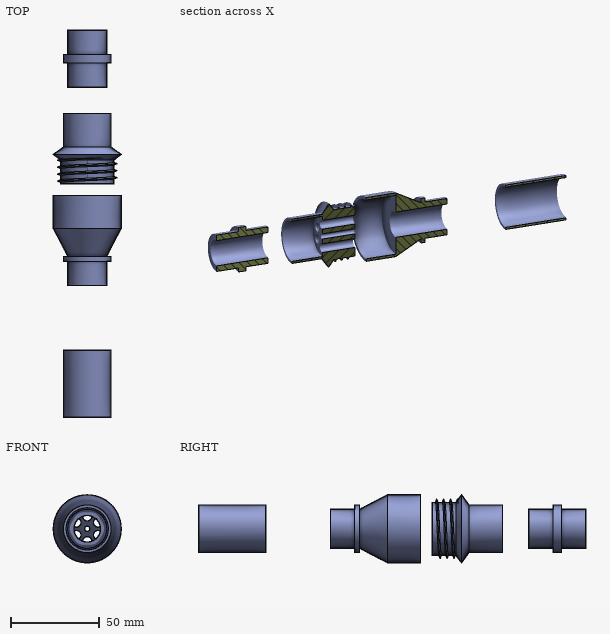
import cadquery as cq
import math


tube_diameter = 27.0
socket_diameter = 24.0
spigot_diameter = 22.2
passage_diameter = 15.0
body_diameter = 38.5
spigot_length = 13.8

sleeve_length = 38.2

cap_flange_length = 2.9
cap_cone_length = 15.8
cap_rim_length = 18.6
cap_bore_diameter = 35

core_diameter = 30.0
core_length = 13.4
front_cone_length = 3.3
rear_cone_length = 4.2
rear_tube_length = 19.0

thread_diameter = 33.8
thread_pitch = 4.0
thread_base_width = 1.8
thread_end_gap = 1.5
thread_length = 13.2
thread_root_depth = 0.5

center_hole_diameter = 2.9
flow_hole_diameter = 5.0
flow_hole_count = 6
flow_hole_circle_radius = 7.0

connector_flange_length = 4.8

sleeve_gap = 36.5
cap_gap = 6.5
valve_gap = 14.7

sleeve_start = 0
cap_start = sleeve_start + sleeve_length + sleeve_gap
cap_length = spigot_length + cap_flange_length + cap_cone_length + cap_rim_length
valve_start = cap_start + cap_length + cap_gap
valve_length = core_length + front_cone_length + rear_cone_length + rear_tube_length
connector_start = valve_start + valve_length + valve_gap


def cylinder(diameter, start, length):
    """Cylinder on the Y axis, running from start towards +Y."""
    plane = cq.Plane(origin=(0, start, 0), xDir=(0, 0, 1), normal=(0, 1, 0))
    return cq.Workplane(plane).circle(diameter / 2).extrude(length)


def cone(front_diameter, rear_diameter, start, length):
    """Truncated cone on the Y axis, running from start towards +Y."""
    end = start + length
    outline = [(start, 0), (start, front_diameter / 2), (end, rear_diameter / 2), (end, 0)]
    return cq.Workplane("YZ").polyline(outline).close().revolve(360, (0, 0, 0), (1, 0, 0))


def make_sleeve():
    outside = cylinder(tube_diameter, sleeve_start, sleeve_length)
    return outside.cut(cylinder(socket_diameter, sleeve_start, sleeve_length))


def make_cap():
    flange_start = cap_start + spigot_length
    cone_start = flange_start + cap_flange_length
    rim_start = cone_start + cap_cone_length
    cap = cylinder(spigot_diameter, cap_start, spigot_length)
    cap = cap.union(cylinder(tube_diameter, flange_start, cap_flange_length))
    cap = cap.union(cone(spigot_diameter, body_diameter, cone_start, cap_cone_length))
    cap = cap.union(cylinder(body_diameter, rim_start, cap_rim_length))
    cap = cap.cut(cylinder(passage_diameter, cap_start, cap_length))
    return cap.cut(cylinder(cap_bore_diameter, rim_start, cap_rim_length))


def make_thread():
    """Right-handed triangular ridge that starts on the -X side near the front face."""
    root_radius = core_diameter / 2 - thread_root_depth
    half_width = thread_base_width / 2
    path = cq.Wire.makeHelix(thread_pitch, thread_length, root_radius)
    ridge = (
        cq.Workplane("XZ")
        .moveTo(root_radius, -half_width)
        .lineTo(thread_diameter / 2, 0)
        .lineTo(root_radius, half_width)
        .close()
        .sweep(cq.Workplane(path), isFrenet=True)
    )
    ridge = ridge.rotate((0, 0, 0), (1, 0, 0), -90)
    ridge = ridge.rotate((0, 0, 0), (0, 1, 0), 180)
    return ridge.translate((0, valve_start + thread_end_gap, 0))


def make_flow_holes():
    """Central hole and a ring of larger holes, the first of them straight up."""
    holes = cylinder(center_hole_diameter, valve_start, valve_length)
    for index in range(flow_hole_count):
        angle = 2 * math.pi * index / flow_hole_count
        x = flow_hole_circle_radius * math.sin(angle)
        z = flow_hole_circle_radius * math.cos(angle)
        hole = cylinder(flow_hole_diameter, valve_start, valve_length).translate((x, 0, z))
        holes = holes.union(hole)
    return holes


def make_valve_body():
    front_cone_start = valve_start + core_length
    rear_cone_start = front_cone_start + front_cone_length
    tube_start = rear_cone_start + rear_cone_length
    body = cylinder(core_diameter, valve_start, core_length)
    body = body.union(cone(core_diameter, body_diameter, front_cone_start, front_cone_length))
    body = body.union(cone(body_diameter, tube_diameter, rear_cone_start, rear_cone_length))
    body = body.union(cylinder(tube_diameter, tube_start, rear_tube_length))
    body = body.union(make_thread())
    body = body.cut(cylinder(socket_diameter, tube_start, rear_tube_length))
    return body.cut(make_flow_holes())


def make_connector():
    """Double-ended spigot with a flange in the middle."""
    length = 2 * spigot_length + connector_flange_length
    connector = cylinder(spigot_diameter, connector_start, length)
    flange_start = connector_start + spigot_length
    connector = connector.union(cylinder(tube_diameter, flange_start, connector_flange_length))
    return connector.cut(cylinder(passage_diameter, connector_start, length))


sleeve = make_sleeve()
cap = make_cap()
valve_body = make_valve_body()
connector = make_connector()

bodies = [sleeve, cap, valve_body, connector]
result = cq.Compound.makeCompound([body.solids().val() for body in bodies])